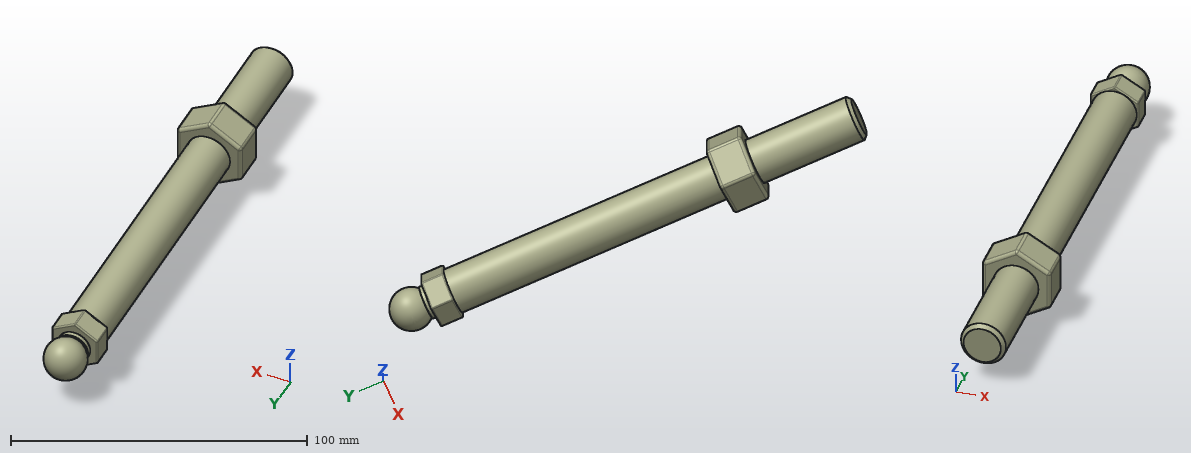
import cadquery as cq
import math

total_length = 173.0
rod_end_y = -total_length / 2
ball_tip_y = total_length / 2

ball_diameter = 15.0
neck_diameter = 11.8
neck_start = 13.0
collar_start = 14.7
collar_length = 8.3
collar_across_flats = 17.0
collar_edge_radius = 0.5
rod_diameter = 16.0
rod_end_chamfer = 1.4

nut_across_flats = 24.0
nut_length = 13.0
nut_offset = 38.4
nut_edge_radius = 1.2


def plane_at(y):
    """Plane across the stud axis whose extrusions grow toward +Y."""
    return cq.Workplane("ZX", origin=(0, y, 0))


def cylinder(start_y, end_y, diameter):
    return plane_at(start_y).circle(diameter / 2).extrude(end_y - start_y)


def hex_block(start_y, length, across_flats, edge_radius):
    """Hexagonal block with corners up and down and every edge rounded."""
    across_corners = across_flats / math.cos(math.pi / 6)
    block = plane_at(start_y).polygon(6, across_corners).extrude(length)
    return block.edges().fillet(edge_radius)


def make_ball_stud():
    neck_y = ball_tip_y - neck_start
    collar_top_y = ball_tip_y - collar_start
    collar_bottom_y = collar_top_y - collar_length
    ball_center_y = ball_tip_y - ball_diameter / 2

    rod = cylinder(rod_end_y, collar_bottom_y, rod_diameter)
    rod = rod.faces("<Y").chamfer(rod_end_chamfer)
    collar = hex_block(collar_bottom_y, collar_length, collar_across_flats, collar_edge_radius)
    neck = cylinder(collar_top_y, neck_y, neck_diameter)
    ball = cq.Workplane("XY").sphere(ball_diameter / 2).translate((0, ball_center_y, 0))
    return rod.union(collar).union(neck).union(ball)


def make_nut():
    start_y = rod_end_y + nut_offset
    nut = hex_block(start_y, nut_length, nut_across_flats, nut_edge_radius)
    return nut.cut(cylinder(start_y, start_y + nut_length, rod_diameter))


ball_stud = make_ball_stud()
nut = make_nut()

result = cq.Compound.makeCompound([ball_stud.val(), nut.val()])